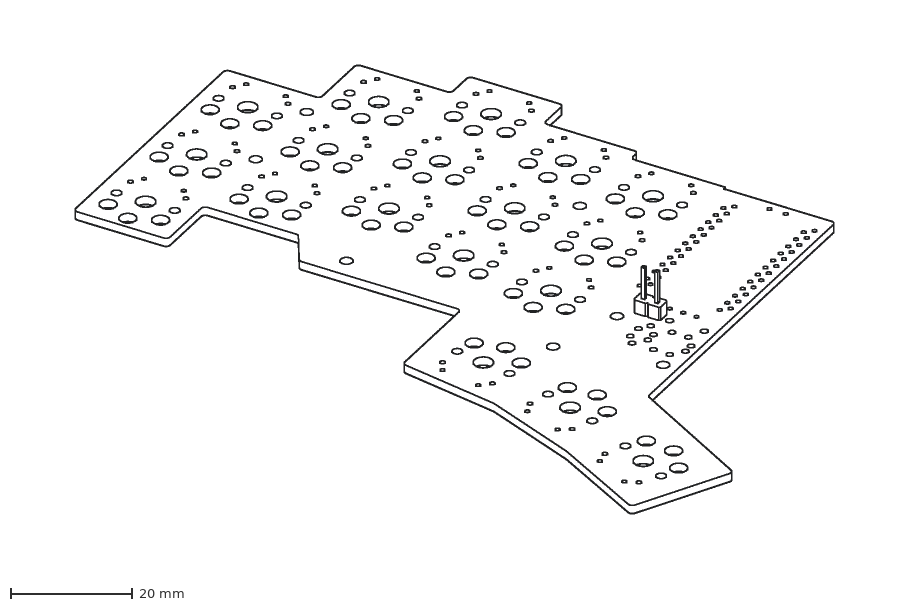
import cadquery as cq
import math


board_length = 134.9
board_thickness = 1.6
left_edge = -board_length / 2
controller_edge_x = 43.7
controller_edge_y = 42.0
thumb_edge_x = 3.5
first_bottom_y = -17.3
second_bottom_y = -5.4
grid_bottom_y = -12.4
corner_radius = 0.8

column_count = 5
rows_per_column = 3
column_pitch = 71.9 / (column_count - 1)
row_pitch = 17.0
top_key_ys = [25.1, 37.2, 43.2, 36.5, 34.1]
column_margin = 8.4
column_edges = [left_edge + i * column_pitch for i in range(column_count + 1)]
column_tops = [key_y + column_margin for key_y in top_key_ys]

thumb_keys = [(14.8, -24.8, -9), (34.3, -30.0, -19), (53.0, -38.5, -28)]
half_turn = 180

stem_diameter = 3.4
guide_diameter = 1.8
guide_x = 5.5
socket_diameter = 3.0
side_socket_x = 5.0
side_socket_y = -3.8
middle_socket_y = -6.0
upper_lead_diameter = 0.8
upper_lead_x = 3.8
upper_lead_y = 6.1
lower_lead_diameter = 0.9
lower_lead_x = 5.3
lower_lead_y = 4.2

mount_diameter = 2.2
mount_places = [
    (-49.2, 28.6),
    (-49.2, 11.6),
    (-20.5, -8.5),
    (4.5, 25.5),
    (22.4, -14.8),
    (26.9, -1.3),
    (41.0, -10.8),
]

controller_diameter = 0.8
controller_pin_count = 12
pin_pitch = 27.9 / (controller_pin_count - 1)
controller_bottom_y = 8.8
controller_column_xs = [25.4, 40.6]
stagger_x = 1.3
stagger_y = pin_pitch / 2

small_pin_diameter = 0.8
battery_places = [(32.1, 40.2), (35.2, 40.2)]
display_pin_count = 5
display_first_x = 28.2
display_y = 5.0

button_diameter = 1.3
button_places = [(35.1, 1.8), (41.7, 1.8)]

jack_diameter = 1.2
jack_middle_y = -4.3
jack_holes = [(31.8, 1.3), (33.2, 3.1), (35.0, 1.0), (37.2, 3.1), (40.3, 3.1), (42.1, 1.0)]

header_pin_count = 2
header_first_x = 30.0
header_y = 2.2
header_block_height = 2.5
header_block_chamfer = 0.3
header_pin_width = 0.63
header_pin_length = 11.6
header_pin_below_board = 1.3
header_hole_diameter = 1.0
header_places = [(header_first_x + i * pin_pitch, header_y) for i in range(header_pin_count)]


def drill(board, places, diameter):
    """Cut a through hole of one diameter at every place."""
    holes = cq.Workplane("XY").pushPoints(places).circle(diameter / 2).extrude(board_thickness)
    return board.cut(holes)


def mirrored(x, y):
    """A pair of places on either side of a key's centre."""
    return [(-x, y), (x, y)]


def board_blank():
    """The stepped outline of the board, with its corners rounded."""
    outline = []
    for column, top_y in enumerate(column_tops):
        outline += [(column_edges[column], top_y), (column_edges[column + 1], top_y)]
    outline += [
        (column_edges[column_count], controller_edge_y),
        (controller_edge_x, controller_edge_y),
        (controller_edge_x, -20.5),
        (67.7, -34.1),
        (58.3, -51.8),
        (40.5, -42.1),
        (22.7, -35.1),
        (thumb_edge_x, -31.8),
        (thumb_edge_x, grid_bottom_y),
        (-27.3, grid_bottom_y),
        (-31.5, second_bottom_y),
        (column_edges[1], second_bottom_y),
        (column_edges[1], first_bottom_y),
        (left_edge, first_bottom_y),
    ]
    blank = cq.Workplane("XY").polyline(outline).close().extrude(board_thickness)

    shallow_step = cq.selectors.BoxSelector(
        (column_edges[column_count] - corner_radius, controller_edge_y - corner_radius, 0),
        (column_edges[column_count] + corner_radius, column_tops[-1] + corner_radius, board_thickness),
    )
    corners = cq.StringSyntaxSelector("|Z") - shallow_step
    return blank.edges(corners).fillet(corner_radius)


def key_positions():
    """X, Y and turn in degrees of every key."""
    keys = [(x, y, half_turn + tilt) for x, y, tilt in thumb_keys]
    for column, top_y in enumerate(top_key_ys):
        x = (column_edges[column] + column_edges[column + 1]) / 2
        keys += [(x, top_y - row * row_pitch, 0) for row in range(rows_per_column)]
    return keys


def at_every_key(offsets):
    """Carry places measured from a key's centre to all the keys."""
    places = []
    for x, y, turn in key_positions():
        cosine = math.cos(math.radians(turn))
        sine = math.sin(math.radians(turn))
        places += [(x + cosine * u - sine * v, y + sine * u + cosine * v) for u, v in offsets]
    return places


def drill_keys(board):
    sockets = mirrored(side_socket_x, side_socket_y) + [(0, middle_socket_y)]
    board = drill(board, at_every_key([(0, 0)]), stem_diameter)
    board = drill(board, at_every_key(mirrored(guide_x, 0)), guide_diameter)
    board = drill(board, at_every_key(sockets), socket_diameter)
    board = drill(board, at_every_key(mirrored(upper_lead_x, upper_lead_y)), upper_lead_diameter)
    return drill(board, at_every_key(mirrored(lower_lead_x, lower_lead_y)), lower_lead_diameter)


def drill_controller(board):
    places = []
    for x in controller_column_xs:
        for i in range(controller_pin_count):
            y = controller_bottom_y + i * pin_pitch
            places += [(x, y), (x + stagger_x, y + stagger_y)]
    return drill(board, places, controller_diameter)


def drill_small_pins(board):
    display_places = [(display_first_x + i * pin_pitch, display_y) for i in range(display_pin_count)]
    return drill(board, battery_places + display_places, small_pin_diameter)


def drill_jack(board):
    places = []
    for x, distance in jack_holes:
        places += [(x, jack_middle_y - distance), (x, jack_middle_y + distance)]
    return drill(board, places, jack_diameter)


def make_board():
    board = board_blank()
    board = drill_keys(board)
    board = drill(board, mount_places, mount_diameter)
    board = drill_controller(board)
    board = drill_small_pins(board)
    board = drill(board, button_places, button_diameter)
    board = drill_jack(board)
    return drill(board, header_places, header_hole_diameter)


def make_header():
    """Chamfered blocks side by side on the board, each with a square pin through it."""
    header = cq.Workplane("XY")
    for x, y in header_places:
        block = (
            cq.Workplane("XY", origin=(x, y, board_thickness))
            .rect(pin_pitch, pin_pitch)
            .extrude(header_block_height)
            .edges("|Z")
            .chamfer(header_block_chamfer)
        )
        pin = (
            cq.Workplane("XY", origin=(x, y, -header_pin_below_board))
            .rect(header_pin_width, header_pin_width)
            .extrude(header_pin_length)
        )
        header = header.add(block.union(pin))
    return header.combine()


board = make_board()
header = make_header()
result = cq.Compound.makeCompound([board.val(), header.val()])